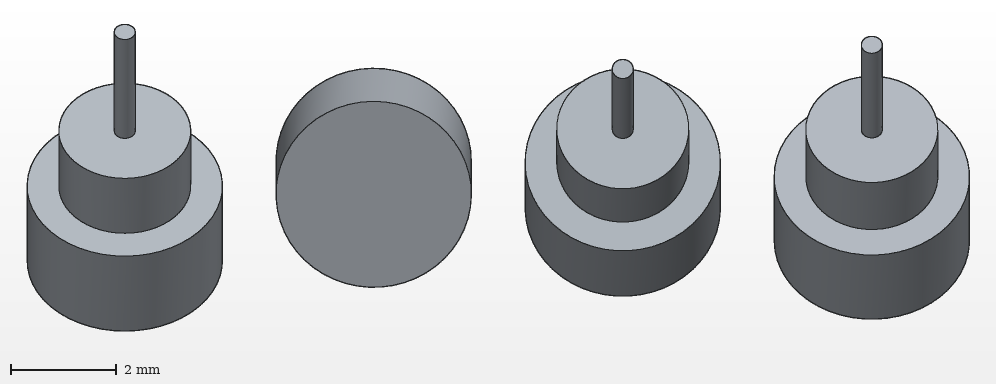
import cadquery as cq

total_height = 6.25
base_diameter = 3.7
base_height = 2.05
collar_diameter = 2.5
collar_height = 1.5
pin_diameter = 0.4
pin_height = total_height - base_height - collar_height


def cylinder(diameter, height, bottom):
    """Upright cylinder on the Z axis, starting at the given level."""
    return cq.Workplane("XY").workplane(offset=bottom).circle(diameter / 2).extrude(height)


base = cylinder(base_diameter, base_height, 0)
collar = cylinder(collar_diameter, collar_height, base_height)
pin = cylinder(pin_diameter, pin_height, base_height + collar_height)

result = base.union(collar).union(pin)